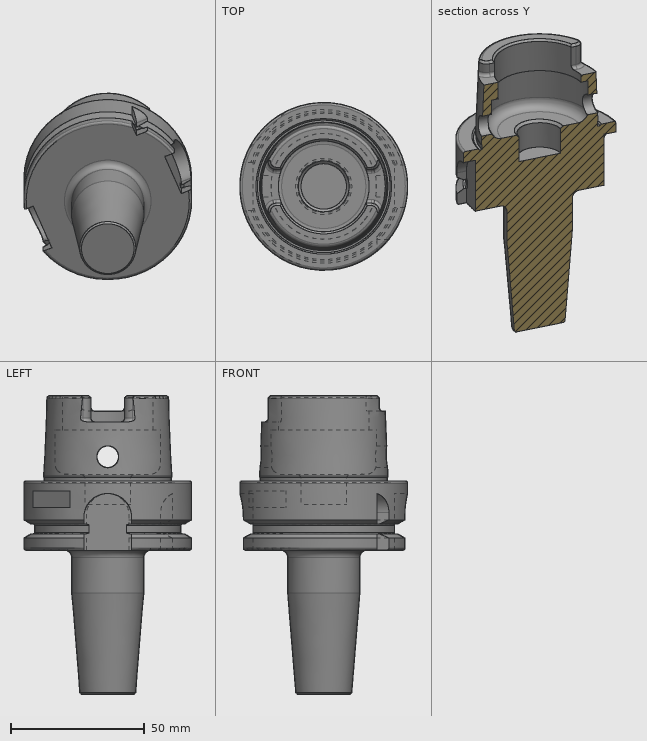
import cadquery as cq
import math

total_height = 112.0
shank_length = 32.0
flange_height = 26.0
flange_top = total_height - shank_length
flange_bottom = flange_top - flange_height

shank_rim_radius = 22.8
shank_base_radius = 24.1
shank_base_band = 2.1
relief_radius = 23.9
relief_height = 1.5
rim_fillet = 1.2

flange_radius = 31.5
flange_top_fillet = 0.9
flange_bottom_fillet = 0.9
groove_radius = 27.4
groove_lip_radius = 28.8
groove_corner = 0.6
groove_top = 63.8
groove_bottom = 60.1
groove_lip_rise = 1.6
face_recess_radius = 25.4
face_recess_depth = 0.6

neck_radius = 13.5
neck_fillet = 2.7
nose_taper_top = 38.0
nose_tip_radius = 10.5
nose_tip_chamfer = 0.7

bore_radius = 17.0
bore_chamfer = 0.8
clamp_edge_height = 99.0
undercut_radius = 19.8
bore_floor = 82.4
bore_floor_fillet = 4.0
thread_radius = 8.5
thread_chamfer = 1.0
thread_depth = 11.2

rim_slot_half_width = 6.3
rim_slot_flare_x = 20.8
rim_slot_flare_radius = 3.0
rim_slot_floor_fillet = 1.3
rim_slot_edge_chamfer = 0.9
edge_chamfer_angle = 45
rim_slot_depth_left = 9.9
rim_slot_depth_right = 5.8

cross_hole_radius = 4.0
cross_hole_height = 89.0

keyway_floor = 26.5
keyway_crown = 75.3
keyway_half_width_left = 9.0
keyway_half_width_right = 8.0

notch_floor = 20.0
notch_wall = 19.8
notch_radius = 8.0
notch_arch_center = 68.1
chip_flat_distance = 29.9
chip_flat_direction = 135
chip_flat_bottom = 70.1
chip_flat_top = 76.2

clearance = 44.8


def make_body():
    """Revolved outer shape: nose, neck, flange and shank."""
    base_band_top = flange_top + shank_base_band
    relief_band_top = flange_top + relief_height
    relief_depth = shank_base_radius - relief_radius
    arc_mid = neck_fillet * (1 - math.sqrt(0.5))
    profile = (
        cq.Workplane("XZ")
        .moveTo(0, 0)
        .lineTo(nose_tip_radius - nose_tip_chamfer, 0)
        .lineTo(nose_tip_radius, nose_tip_chamfer)
        .lineTo(neck_radius, nose_taper_top)
        .lineTo(neck_radius, flange_bottom - neck_fillet)
        .threePointArc(
            (neck_radius + arc_mid, flange_bottom - arc_mid),
            (neck_radius + neck_fillet, flange_bottom),
        )
        .lineTo(flange_radius - flange_bottom_fillet, flange_bottom)
        .radiusArc((flange_radius, flange_bottom + flange_bottom_fillet), -flange_bottom_fillet)
        .lineTo(flange_radius, groove_bottom - groove_lip_rise)
        .lineTo(groove_lip_radius, groove_bottom)
        .lineTo(groove_radius + groove_corner, groove_bottom)
        .radiusArc((groove_radius, groove_bottom + groove_corner), groove_corner)
        .lineTo(groove_radius, groove_top - groove_corner)
        .radiusArc((groove_radius + groove_corner, groove_top), groove_corner)
        .lineTo(groove_lip_radius, groove_top)
        .lineTo(flange_radius, groove_top + groove_lip_rise)
        .lineTo(flange_radius, flange_top - flange_top_fillet)
        .radiusArc((flange_radius - flange_top_fillet, flange_top), -flange_top_fillet)
        .lineTo(face_recess_radius, flange_top)
        .lineTo(face_recess_radius - face_recess_depth, flange_top - face_recess_depth)
        .lineTo(relief_radius, flange_top - face_recess_depth)
        .lineTo(relief_radius, relief_band_top - relief_depth)
        .lineTo(shank_base_radius, relief_band_top)
        .lineTo(shank_base_radius, base_band_top)
        .lineTo(shank_rim_radius, total_height)
        .lineTo(0, total_height)
        .close()
    )
    body = profile.revolve(360, (0, 0, 0), (0, 1, 0))
    return body.faces(">Z").edges().fillet(rim_fillet)


def make_bore():
    """Clamping bore with a square-shouldered undercut, and the threaded bore in its floor."""
    profile = (
        cq.Workplane("XZ")
        .moveTo(0, total_height)
        .lineTo(bore_radius + bore_chamfer, total_height)
        .lineTo(bore_radius, total_height - bore_chamfer)
        .lineTo(bore_radius, clamp_edge_height)
        .lineTo(undercut_radius, clamp_edge_height)
        .lineTo(undercut_radius, bore_floor + bore_floor_fillet)
        .radiusArc((undercut_radius - bore_floor_fillet, bore_floor), bore_floor_fillet)
        .lineTo(thread_radius + thread_chamfer, bore_floor)
        .lineTo(thread_radius, bore_floor - thread_chamfer)
        .lineTo(thread_radius, bore_floor - thread_depth)
        .lineTo(0, bore_floor - thread_depth)
        .close()
    )
    return profile.revolve(360, (0, 0, 0), (0, 1, 0))


def rim_slot_outline(height, offset):
    """Slot outline on the +X side whose walls flare outwards, grown sideways by the offset."""
    half_width = rim_slot_half_width + offset
    flare_x = rim_slot_flare_x - offset
    radius = rim_slot_flare_radius - offset
    flare_y = half_width + radius
    return (
        cq.Workplane("XY", origin=(0, 0, height))
        .moveTo(0, -half_width)
        .lineTo(flare_x - radius, -half_width)
        .radiusArc((flare_x, -flare_y), radius)
        .lineTo(flare_x, -clearance)
        .lineTo(clearance, -clearance)
        .lineTo(clearance, clearance)
        .lineTo(flare_x, clearance)
        .lineTo(flare_x, flare_y)
        .radiusArc((flare_x - radius, half_width), radius)
        .lineTo(0, half_width)
        .close()
    )


def make_rim_slot(depth):
    """Rim slot cutter on the +X side with a filleted floor and chamfered upper edges."""
    slot = rim_slot_outline(total_height - depth, 0).extrude(depth)
    slot = slot.faces("<Z").edges().fillet(rim_slot_floor_fillet)
    edge_chamfer = (
        rim_slot_outline(total_height, rim_slot_edge_chamfer)
        .extrude(-rim_slot_edge_chamfer, taper=edge_chamfer_angle)
    )
    return slot.union(edge_chamfer)


def make_keyway(half_width):
    """Keyway cutter on the +X side: flat floor, round upper end, open downwards."""
    arch_center = keyway_crown - half_width
    return (
        cq.Workplane("YZ", origin=(keyway_floor, 0, 0))
        .moveTo(-half_width, flange_bottom)
        .lineTo(-half_width, arch_center)
        .threePointArc((0, keyway_crown), (half_width, arch_center))
        .lineTo(half_width, flange_bottom)
        .close()
        .extrude(clearance)
    )


def make_corner_notch():
    """Notch cutter at the +X -Y corner of the flange, arched at its upper end."""
    arch_y = -notch_wall - notch_radius
    return (
        cq.Workplane("YZ", origin=(notch_floor, 0, 0))
        .moveTo(-notch_wall, flange_bottom)
        .lineTo(-notch_wall, notch_arch_center)
        .radiusArc((arch_y, notch_arch_center + notch_radius), -notch_radius)
        .lineTo(-clearance, notch_arch_center + notch_radius)
        .lineTo(-clearance, flange_bottom)
        .close()
        .extrude(clearance)
    )


def make_chip_flat():
    """Cutter for the flat facing diagonally between -X and +Y."""
    height = chip_flat_top - chip_flat_bottom
    return (
        cq.Workplane("XY", origin=(0, 0, chip_flat_bottom))
        .rect(clearance, clearance)
        .extrude(height)
        .translate((chip_flat_distance + clearance / 2, 0, 0))
        .rotate((0, 0, 0), (0, 0, 1), chip_flat_direction)
    )


def turned_to_left(cutter):
    """Swing a +X side cutter round to the -X side."""
    return cutter.rotate((0, 0, 0), (0, 0, 1), 180)


def make_cross_hole():
    """Hole along X through both shank walls."""
    return (
        cq.Workplane("YZ", origin=(-clearance, 0, 0))
        .center(0, cross_hole_height)
        .circle(cross_hole_radius)
        .extrude(2 * clearance)
    )


result = (
    make_body()
    .cut(make_bore())
    .cut(make_rim_slot(rim_slot_depth_right))
    .cut(turned_to_left(make_rim_slot(rim_slot_depth_left)))
    .cut(make_cross_hole())
    .cut(make_keyway(keyway_half_width_right))
    .cut(turned_to_left(make_keyway(keyway_half_width_left)))
    .cut(make_corner_notch())
    .cut(make_chip_flat())
)